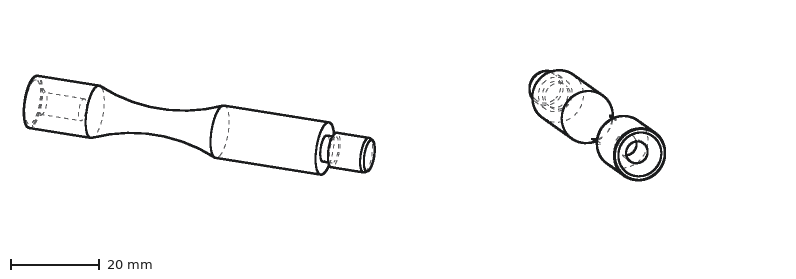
import cadquery as cq

length = 81.0
body_radius = 6.0
waist_start = 15.0
waist_end = 45.0
waist_radius = 3.0
body_end = 70.3
edge_chamfer = 0.2
neck_radius = 3.0
stud_radius = 4.0
stud_start = 72.5
tip_chamfer_length = 0.7
tip_chamfer_depth = 0.4

socket_mouth_radius = 5.0
bore_radius = 2.5
bore_depth = 12.0
bore_tip_depth = 1.45


def turned_body():
    """Handle with an arc waist, undercut neck and chamfered stud."""
    waist_middle = (waist_start + waist_end) / 2
    profile = (
        cq.Workplane("XY")
        .lineTo(0, body_radius - edge_chamfer)
        .lineTo(edge_chamfer, body_radius)
        .lineTo(waist_start, body_radius)
        .threePointArc((waist_middle, waist_radius), (waist_end, body_radius))
        .lineTo(body_end, body_radius)
        .lineTo(body_end, neck_radius)
        .lineTo(stud_start, neck_radius)
        .lineTo(stud_start, stud_radius)
        .lineTo(length - tip_chamfer_length, stud_radius)
        .lineTo(length, stud_radius - tip_chamfer_depth)
        .lineTo(length, 0)
        .close()
    )
    return profile.revolve(360, (0, 0, 0), (1, 0, 0))


def socket():
    """Conical mouth leading to a drilled bore with a pointed bottom."""
    socket_cone_depth = socket_mouth_radius - bore_radius
    profile = (
        cq.Workplane("XY")
        .lineTo(0, socket_mouth_radius)
        .lineTo(socket_cone_depth, bore_radius)
        .lineTo(bore_depth, bore_radius)
        .lineTo(bore_depth + bore_tip_depth, 0)
        .close()
    )
    return profile.revolve(360, (0, 0, 0), (1, 0, 0))


result = turned_body().cut(socket())